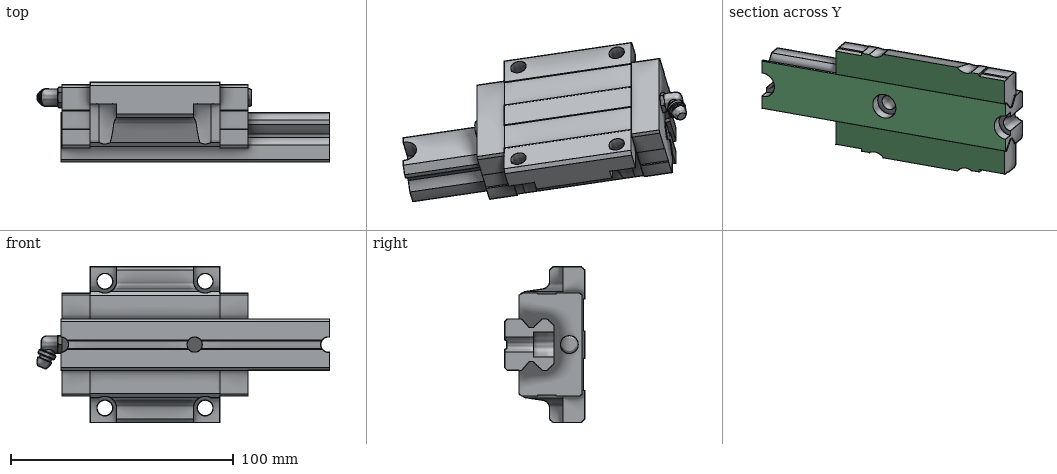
import cadquery as cq
import math


rail_length = 120.6
rail_half_width = 11.5
rail_height = 22.2
rail_foot_chamfer = 1.2
rail_head_chamfer_y = 3.2
rail_head_half_width = 8.5
waist_half_width = 7.6
waist_bottom = 11.0
waist_top = 12.7
foot_top = 7.6
head_bottom = 17.0

rail_groove_depth = 0.9
rail_groove_mouth_half = 2.1
rail_groove_floor_half = 1.7

rail_hole_pitch = 60.0
rail_hole_count = 3
rail_hole_diameter = 6.8
rail_counterbore_diameter = 11.2
rail_counterbore_floor = 13.0

overall_top = 36.0
block_start = 13.1
block_length = 58.2
block_bottom = 7.0
flange_width = 70.0
flange_bottom = 20.1
flange_chamfer = 1.6
side_chamfer = 1.8
side_foot_half_width = 23.8
side_top_half_width = 25.5
side_fillet = 3.3
top_relief_depth = 0.5
top_relief_inner = 6.2
top_relief_outer = 20.5

flange_hole_diameter = 7.0
flange_hole_pitch_x = 45.0
flange_hole_pitch_z = 56.9
seat_level = 26.1
seat_radius = 5.3
seat_flat_z = 23.9

cap_length = 12.7
cap_bottom = 6.5
cap_top = 34.8
cap_half_width = 23.1
cap_chamfer_y = 1.2
cap_chamfer_z = 0.9
cap_side_relief = 0.4
cap_relief_bottom = 14.6
cap_relief_top = 23.4

fitting_y = 29.0
nut_sides = 6
nut_across_flats = 8.0
nut_thickness = 1.8
nut_chamfer = 0.5
elbow_diameter = 7.9
elbow_length = 7.5
elbow_fillet = 2.6
spout_angle = 22.5
spout_root_x = -4.5
stem_diameter = 6.6
ring_diameter = 8.0
ring_start = 3.7
ring_end = 5.9
ring_chamfer = 0.4
neck_diameter = 5.5
neck_end = 7.2
ball_start = 7.5
ball_diameter = 6.8
ball_middle = 8.4
ball_middle_diameter = 6.5
ball_end = 9.9
ball_end_diameter = 5.5
tip_end = 11.0
tip_diameter = 4.0
plug_diameter = 8.0
plug_length = 1.6
plug_fillet = 1.2

cap_start = block_start - cap_length
block_end = block_start + block_length
cap_end = block_end + cap_length
flange_half_width = flange_width / 2


def extrude_section(points, start_x, length):
    """Extrude a closed (y, z) outline along +X from start_x."""
    return cq.Workplane("YZ", origin=(start_x, 0, 0)).polyline(points).close().extrude(length)


def mirrored(points):
    """Close a (y, z) half outline with its mirror image about Z = 0."""
    return points + [(y, -z) for y, z in reversed(points)]


def box_between(low, high):
    """Axis-aligned box from its two opposite corners."""
    size = [b - a for a, b in zip(low, high)]
    return cq.Workplane("XY").box(*size, centered=False).translate(low)


def rod_along_y(x, z, diameter, low_y, high_y):
    """Cylinder parallel to Y."""
    rod = cq.Workplane("XZ", origin=(x, low_y, z)).circle(diameter / 2)
    return rod.extrude(-(high_y - low_y))


def rail_envelope():
    """Rail section without its holes or bottom groove; also the running slot of the carriage."""
    half = [
        (0, rail_half_width - rail_foot_chamfer),
        (rail_foot_chamfer, rail_half_width),
        (foot_top, rail_half_width),
        (waist_bottom, waist_half_width),
        (waist_top, waist_half_width),
        (head_bottom, rail_half_width),
        (rail_height - rail_head_chamfer_y, rail_half_width),
        (rail_height, rail_head_half_width),
    ]
    return extrude_section(mirrored(half), 0, rail_length)


def make_rail():
    rail = rail_envelope()
    groove = [(0, rail_groove_mouth_half), (rail_groove_depth, rail_groove_floor_half)]
    rail = rail.cut(extrude_section(mirrored(groove), 0, rail_length))
    for i in range(rail_hole_count):
        x = i * rail_hole_pitch
        rail = rail.cut(rod_along_y(x, 0, rail_hole_diameter, 0, rail_height))
        rail = rail.cut(rod_along_y(x, 0, rail_counterbore_diameter, rail_counterbore_floor, rail_height))
    return rail


def make_block_body():
    """Flanged block with sloping sides and a fillet under each flange."""
    relief_floor = overall_top - top_relief_depth
    half = [
        (block_bottom, side_foot_half_width - side_chamfer),
        (block_bottom + side_chamfer, side_foot_half_width),
        (flange_bottom, side_top_half_width),
        (flange_bottom, flange_half_width - flange_chamfer),
        (flange_bottom + flange_chamfer, flange_half_width),
        (overall_top - flange_chamfer, flange_half_width),
        (overall_top, flange_half_width - flange_chamfer),
        (overall_top, top_relief_outer),
        (relief_floor, top_relief_outer),
        (relief_floor, top_relief_inner),
        (overall_top, top_relief_inner),
    ]
    block = extrude_section(mirrored(half), block_start, block_length)
    margin = 0.01
    for side in (-1, 1):
        z = side * side_top_half_width
        corner = cq.selectors.BoxSelector(
            (block_start - margin, flange_bottom - margin, z - margin),
            (block_end + margin, flange_bottom + margin, z + margin),
        )
        block = block.edges(corner).fillet(side_fillet)
    return block


def make_screw_seat(side, end):
    """Cutter for one flange screw: through hole and U-shaped seat open to the block end."""
    x = (block_start + block_end + end * flange_hole_pitch_x) / 2
    z = side * flange_hole_pitch_z / 2
    inner_x = x - end * seat_radius
    outer_x = block_end if end > 0 else block_start
    edge_z = side * flange_half_width
    x_low, x_high = sorted((inner_x, outer_x))
    z_low, z_high = sorted((z, edge_z))
    seat = box_between((x_low, 0, z_low), (x_high, seat_level, z_high))
    x_low, x_high = sorted((x, outer_x))
    z_low, z_high = sorted((side * seat_flat_z, edge_z))
    seat = seat.union(box_between((x_low, 0, z_low), (x_high, seat_level, z_high)))
    seat = seat.union(rod_along_y(x, z, 2 * seat_radius, 0, seat_level))
    return seat.union(rod_along_y(x, z, flange_hole_diameter, 0, overall_top))


def make_end_cap(start_x):
    """End cap with chamfered edges and a shallow relief along each side."""
    relief_half_width = cap_half_width - cap_side_relief
    half = [
        (cap_bottom, cap_half_width - cap_chamfer_z),
        (cap_bottom + cap_chamfer_y, cap_half_width),
        (cap_relief_bottom, cap_half_width),
        (cap_relief_bottom + cap_side_relief, relief_half_width),
        (cap_relief_top - cap_side_relief, relief_half_width),
        (cap_relief_top, cap_half_width),
        (cap_top - cap_chamfer_y, cap_half_width),
        (cap_top, cap_half_width - cap_chamfer_z),
    ]
    return extrude_section(mirrored(half), start_x, cap_length)


def make_nut_and_elbow():
    """Hexagon nut on the left cap and the round elbow body in front of it."""
    corner_diameter = nut_across_flats / math.cos(math.pi / nut_sides)
    on_cap = cq.Workplane("YZ", origin=(cap_start, fitting_y, 0))
    nut = on_cap.polygon(nut_sides, corner_diameter).extrude(-nut_thickness)
    crown_rim = (corner_diameter - nut_across_flats) / 2
    crown = on_cap.circle(corner_diameter / 2).extrude(-nut_thickness)
    crown = crown.faces("<X").chamfer(nut_chamfer, crown_rim)
    elbow = on_cap.circle(elbow_diameter / 2).extrude(-(nut_thickness + elbow_length))
    return nut.intersect(crown).union(elbow.faces("<X").edges().fillet(elbow_fillet))


def make_spout():
    """Turned nipple head, leaning down and away from the carriage."""
    ring_radius = ring_diameter / 2
    spout = (
        cq.Workplane("XZ")
        .lineTo(stem_diameter / 2, 0)
        .lineTo(stem_diameter / 2, -ring_start)
        .lineTo(ring_radius - ring_chamfer, -ring_start)
        .lineTo(ring_radius, -ring_start - ring_chamfer)
        .lineTo(ring_radius, -ring_end + ring_chamfer)
        .lineTo(ring_radius - ring_chamfer, -ring_end)
        .lineTo(neck_diameter / 2, -ring_end)
        .lineTo(neck_diameter / 2, -neck_end)
        .lineTo(ball_diameter / 2, -ball_start)
        .threePointArc((ball_middle_diameter / 2, -ball_middle), (ball_end_diameter / 2, -ball_end))
        .lineTo(tip_diameter / 2, -tip_end)
        .lineTo(0, -tip_end)
        .close()
        .revolve(360, (0, 0, 0), (0, 1, 0))
    )
    leaning = spout.rotate((0, 0, 0), (0, 1, 0), spout_angle)
    return leaning.translate((spout_root_x, fitting_y, 0))


def make_plug():
    """Rounded plug head on the right cap."""
    on_cap = cq.Workplane("YZ", origin=(cap_end, fitting_y, 0))
    return on_cap.circle(plug_diameter / 2).extrude(plug_length).faces(">X").edges().fillet(plug_fillet)


def make_carriage():
    carriage = make_block_body()
    for side in (-1, 1):
        for end in (-1, 1):
            carriage = carriage.cut(make_screw_seat(side, end))
    for start_x in (cap_start, block_end):
        carriage = carriage.union(make_end_cap(start_x))
    carriage = carriage.cut(rail_envelope())
    return carriage.union(make_nut_and_elbow()).union(make_spout()).union(make_plug())


rail = make_rail()
carriage = make_carriage()

result = cq.Compound.makeCompound([rail.val(), carriage.val()])